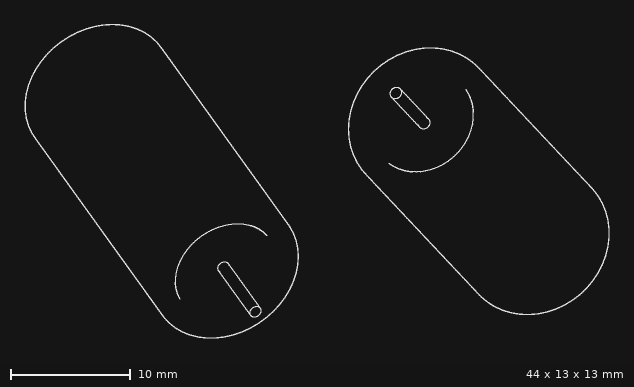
import cadquery as cq

overall_length = 44.0
body_length = 30.9
body_diameter = 13.0
lead_diameter = 1.0
edge_radius = 0.5
recess_wall_diameter = 9.0
recess_depth = 2 * edge_radius


def make_cylinder(diameter, length):
    """Cylinder along X, centred on the origin."""
    start = cq.Workplane("YZ", origin=(-length / 2, 0, 0))
    return start.circle(diameter / 2).extrude(length)


def make_body():
    """Solid can with rounded outer edges, centred on the origin."""
    can = make_cylinder(body_diameter, body_length)
    return can.faces("<X or >X").edges().fillet(edge_radius)


def make_recess(side):
    """Cutter for the dished end at side -1 or +1, revolved about X."""
    face_x = body_length / 2
    floor_x = face_x - recess_depth
    wall_radius = recess_wall_diameter / 2
    rim_radius = wall_radius + edge_radius
    floor_radius = wall_radius - edge_radius
    arc_sagitta = edge_radius * (1 - 0.5**0.5)

    profile = (
        cq.Workplane("XY")
        .moveTo(side * floor_x, 0)
        .lineTo(side * floor_x, floor_radius)
        .threePointArc(
            (side * (floor_x + arc_sagitta), wall_radius - arc_sagitta),
            (side * (floor_x + edge_radius), wall_radius),
        )
        .threePointArc(
            (side * (face_x - arc_sagitta), wall_radius + arc_sagitta),
            (side * face_x, rim_radius),
        )
        .lineTo(side * face_x, 0)
        .close()
    )
    return profile.revolve(360, (0, 0, 0), (1, 0, 0))


body = make_body()
for end_side in (-1, 1):
    body = body.cut(make_recess(end_side))

leads = make_cylinder(lead_diameter, overall_length)
result = body.union(leads)